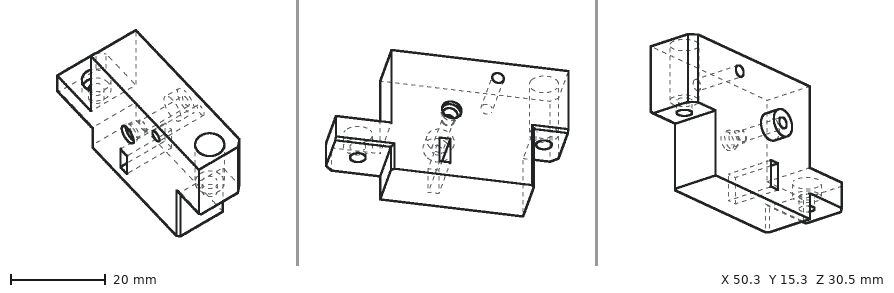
import cadquery as cq
import math

length = 50.25
thickness = 11.8
height = 30.5

arm_length = 12.0
arm_bottom = 5.95
arm_top = 11.8
leg_right = 42.9
head_bottom = 14.9

end_chamfer = 1.5
relief_chamfer = 0.6

screw_inset = 6.0
screw_spacing = 40.2
screw_y = thickness / 2
screw_diameter = 3.3
head_diameter = 6.2
arm_bore_depth = 3.1
screw_floor = arm_top - arm_bottom - arm_bore_depth

pin_x = 25.0
pin_z = 16.95
pin_diameter = 6.05
pin_length = 3.5
pin_hole_diameter = 2.4
mouth_diameter = 4.2
mouth_depth = 1.0
throat_diameter = 3.2
throat_depth = 1.75
taper_end_diameter = 2.8
taper_end_depth = 4.0

cross_hole_x = 35.0
cross_hole_z = 26.5
cross_hole_diameter = 2.5
slot_x = 23.55
slot_z = 6.4
slot_width = 2.3
slot_height = 6.1


def y_cylinder(x, z, diameter, y_start, depth):
    """Cylinder along +Y starting at y_start."""
    return cq.Workplane("XY").add(
        cq.Solid.makeCylinder(diameter / 2, depth, cq.Vector(x, y_start, z), cq.Vector(0, 1, 0))
    )


def make_body():
    """Stepped block with an arm on the left and an overhanging head on the right."""
    outline = [
        (0, arm_bottom),
        (arm_length, arm_bottom),
        (arm_length, 0),
        (leg_right, 0),
        (leg_right, head_bottom),
        (length, head_bottom),
        (length, height),
        (arm_length, height),
        (arm_length, arm_top),
        (0, arm_top),
    ]
    return cq.Workplane("XZ").polyline(outline).close().extrude(-thickness)


def chamfer_back_corners(body):
    """Chamfer the vertical back corners at both ends of the part."""
    return body.edges("|Z").edges(">Y").edges("<X or >X").chamfer(end_chamfer)


def screw_hole(x, top, bottom):
    """Through hole with a head bore that leaves the same floor under both screws."""
    bore_floor = bottom + screw_floor
    shank = cq.Workplane("XY", origin=(x, screw_y, bottom)).circle(screw_diameter / 2).extrude(top - bottom)
    bore = cq.Workplane("XY", origin=(x, screw_y, bore_floor)).circle(head_diameter / 2).extrude(top - bore_floor)
    return shank.union(bore)


def relief_cut(end_x, leg_x):
    """Bevel for the front edges of one lower corner notch, between an end of the part and the leg.

    The notch outline is grown by the chamfer size at the front face and shrinks to the true
    notch at the chamfer depth.
    """
    outward = math.copysign(relief_chamfer, end_x - leg_x)
    outer_x = end_x + outward
    outer_z = -relief_chamfer
    notch_top = arm_bottom if end_x == 0 else head_bottom

    def notch(side_x, top_z):
        return [(outer_x, outer_z), (side_x, outer_z), (side_x, top_z), (outer_x, top_z)]

    front = cq.Workplane("XZ").polyline(notch(leg_x - outward, notch_top + relief_chamfer)).close()
    back = front.workplane(offset=-relief_chamfer).polyline(notch(leg_x, notch_top)).close()
    return back.loft(ruled=True)


def pin_hole():
    """Turned stepped hole: wide mouth, cone, slow taper and narrow through hole on the pin axis."""
    mouth_radius = mouth_diameter / 2
    taper_end_radius = taper_end_diameter / 2
    hole_radius = pin_hole_diameter / 2
    back = thickness + pin_length
    half_section = [
        (0, 0),
        (mouth_radius, 0),
        (mouth_radius, mouth_depth),
        (throat_diameter / 2, throat_depth),
        (taper_end_radius, taper_end_depth),
        (hole_radius, taper_end_depth),
        (hole_radius, back),
        (0, back),
    ]
    profile = cq.Workplane("XY").polyline(half_section).close()
    return profile.revolve(360, (0, 0), (0, 1)).translate((pin_x, 0, pin_z))


body = chamfer_back_corners(make_body())
body = body.cut(relief_cut(0, arm_length))
body = body.cut(relief_cut(length, leg_right))
body = body.union(y_cylinder(pin_x, pin_z, pin_diameter, thickness, pin_length))
body = body.cut(pin_hole())
body = body.cut(screw_hole(screw_inset, arm_top, arm_bottom))
body = body.cut(screw_hole(screw_inset + screw_spacing, height, head_bottom))
body = body.cut(y_cylinder(cross_hole_x, cross_hole_z, cross_hole_diameter, 0, thickness))
slot = cq.Workplane("XY").box(slot_width, thickness, slot_height)
result = body.cut(slot.translate((slot_x, thickness / 2, slot_z)))